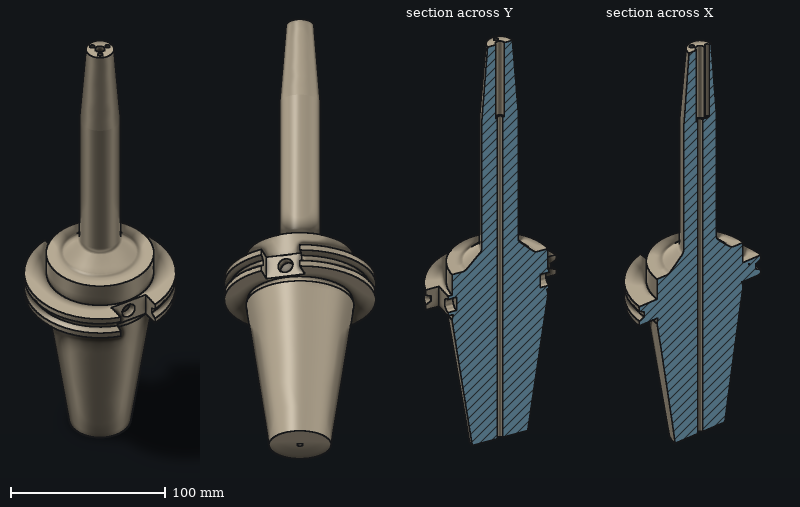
import cadquery as cq
import math

total_height = 304.8
gauge_z = 101.5
flange_bottom_z = 105.2
flange_top_z = 120.7
shoulder_z = 136.5
nose_base_z = 247.8

gauge_radius = 35.0
taper_ratio = 7 / 24
taper_end_radius = gauge_radius - gauge_z * taper_ratio / 2
neck_radius = 34.0
flange_diameter = 98.5
flange_radius = flange_diameter / 2
shoulder_diameter = 69.8
shoulder_radius = shoulder_diameter / 2
stem_radius = 13.5
nose_tip_radius = 9.0

groove_root_radius = 45.5
groove_root_height = 3.7
groove_side_angle = 28
groove_side_height = (flange_radius - groove_root_radius) * math.tan(math.radians(groove_side_angle))
flange_middle_z = (flange_bottom_z + flange_top_z) / 2

blend_radius = 5.0
cone_rise = 9.0
diagonal = math.sqrt(0.5)

slot_width = 26.0
deep_slot_floor = 35.7
shallow_slot_floor = 37.8
side_hole_diameter = 9.8
side_hole_depth = 6.0

bore_diameter = 6.0
channel_diameter = 3.7
bore_depth = total_height - nose_base_z
coolant_hole_diameter = 3.0
coolant_circle_radius = 5.8
coolant_hole_count = 3
first_coolant_angle = 90


def turned_body():
    """Revolve the taper, grooved flange, shoulder, stem and nose about Z."""
    root_half = groove_root_height / 2
    lip_half = root_half + groove_side_height
    arc_rise = blend_radius * diagonal
    arc_fall = blend_radius - arc_rise
    half_arc = math.radians(45 / 2)
    half_rise = blend_radius * math.sin(half_arc)
    half_fall = blend_radius * (1 - math.cos(half_arc))

    cone_base = (stem_radius + arc_fall + cone_rise, shoulder_z + arc_fall)
    cone_top = (stem_radius + arc_fall, cone_base[1] + cone_rise)
    blend_foot = (cone_base[0] + arc_rise, shoulder_z)
    stem_foot = (stem_radius, cone_top[1] + arc_rise)

    profile = (
        cq.Workplane("XZ")
        .lineTo(taper_end_radius, 0)
        .lineTo(gauge_radius, gauge_z)
        .lineTo(neck_radius, flange_bottom_z)
        .lineTo(flange_radius, flange_bottom_z)
        .lineTo(flange_radius, flange_middle_z - lip_half)
        .lineTo(groove_root_radius, flange_middle_z - root_half)
        .lineTo(groove_root_radius, flange_middle_z + root_half)
        .lineTo(flange_radius, flange_middle_z + lip_half)
        .lineTo(flange_radius, flange_top_z)
        .lineTo(shoulder_radius, flange_top_z)
        .lineTo(shoulder_radius, shoulder_z)
        .lineTo(*blend_foot)
        .threePointArc((blend_foot[0] - half_rise, shoulder_z + half_fall), cone_base)
        .lineTo(*cone_top)
        .threePointArc((stem_radius + half_fall, stem_foot[1] - half_rise), stem_foot)
        .lineTo(stem_radius, nose_base_z)
        .lineTo(nose_tip_radius, total_height)
        .lineTo(0, total_height)
        .close()
    )
    return profile.revolve(360, (0, 0), (0, 1))


def drive_slot(side, slot_floor_x):
    """Slot through the flange height, with a blind radial hole in its floor."""
    slot_depth = flange_radius - slot_floor_x
    slot = cq.Workplane("XY").box(slot_depth, slot_width, flange_top_z - flange_bottom_z)
    slot = slot.translate((side * (slot_floor_x + slot_depth / 2), 0, flange_middle_z))
    hole = (
        cq.Workplane("YZ", origin=(side * slot_floor_x, 0, flange_middle_z))
        .circle(side_hole_diameter / 2)
        .extrude(-side * side_hole_depth)
    )
    return slot.union(hole)


def nose_holes():
    """Tool bore, through channel and the ring of coolant holes around the bore."""
    nose_face = cq.Workplane("XY", origin=(0, 0, total_height))
    bore = nose_face.circle(bore_diameter / 2).extrude(-bore_depth)
    channel = nose_face.circle(channel_diameter / 2).extrude(-total_height)
    coolant = (
        nose_face.polarArray(coolant_circle_radius, first_coolant_angle, 360, coolant_hole_count)
        .circle(coolant_hole_diameter / 2)
        .extrude(-bore_depth)
    )
    return bore.union(channel).union(coolant)


result = turned_body().cut(nose_holes())
result = result.cut(drive_slot(-1, shallow_slot_floor))
result = result.cut(drive_slot(1, deep_slot_floor))